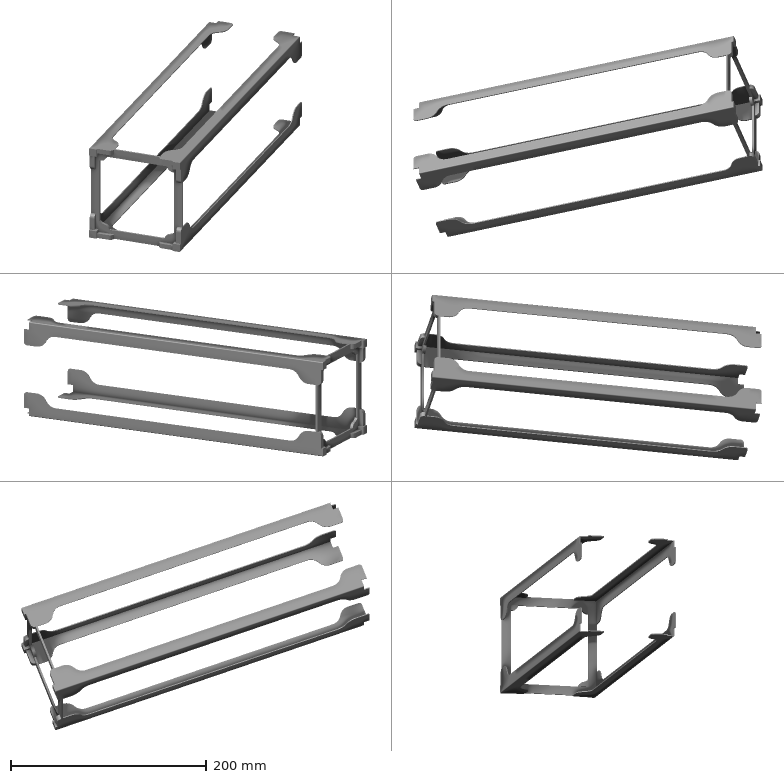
import cadquery as cq
import math

LENGTH = 343.0
WIDTH = 100.0
HALF = WIDTH / 2
FRONT = -LENGTH / 2
BACK = LENGTH / 2

SHEET = 1.0
LEG = 12.0
TAB = 25.0
BLEND_RADIUS = 12.0
FRONT_SETBACK = 2.0
FRONT_TAB_LENGTH = 14.7
BACK_TAB_LENGTH = 14.5
FRONT_TAB_RADIUS = 4.0
BACK_TAB_RADIUS = 3.0
BACK_NOTCH = 6.0

BLOCK = 8.2
BAR_WIDTH = 9.3
BAR_THICKNESS = 1.9
LUG_THICKNESS = 4.0
GUSSET_THICKNESS = 3.0
TOP_GUSSET_WIDTH = 7.5
TOP_GUSSET_HEIGHT = 5.5
TOP_GUSSET_BOW = 1.9
BOTTOM_GUSSET_WIDTH = 10.5
BOTTOM_GUSSET_HEIGHT = 8.2
BOTTOM_GUSSET_BOW = 1.2
WAIST_WIDTH = 4.8
WAIST_HEIGHT = 5.0
HOLLOW_BOW = 0.5

RAIL_FRONT = FRONT + FRONT_SETBACK
BAR_BACK = FRONT + BLOCK
BAR_FRONT = BAR_BACK - BAR_THICKNESS
STEP = TAB - LEG
BLEND_LENGTH = math.sqrt(STEP * (4 * BLEND_RADIUS - STEP))


def at_corners(body, sides=(-1, 1), levels=(-1, 1)):
    """Copies of a body made at the -X, -Z corner, mirrored to the chosen corners."""
    copies = []
    for side in sides:
        for level in levels:
            copy = body
            if side > 0:
                copy = copy.mirror("YZ")
            if level > 0:
                copy = copy.mirror("XY")
            copies.append(copy)
    return copies


def swap_x_and_z(body):
    """Mirror a body across the diagonal plane X = Z."""
    return body.rotate((0, 0, 0), (0, 1, 0), 90).mirror("XY")


def box(x, y, z):
    """A box from (low, high) ranges along the three axes."""
    size = (x[1] - x[0], y[1] - y[0], z[1] - z[0])
    return cq.Workplane("XY").box(*size, centered=False).translate((x[0], y[0], z[0]))


def bowed_arc(outline, start, end, bow):
    """Add an arc that bulges by `bow` to the left of the way from start to end."""
    dx = end[0] - start[0]
    dy = end[1] - start[1]
    chord = math.hypot(dx, dy)
    middle = ((start[0] + end[0]) / 2 - bow * dy / chord, (start[1] + end[1]) / 2 + bow * dx / chord)
    return outline.threePointArc(middle, end)


def rail_leg():
    """Flat bottom leg of the rail at the -X, -Z corner, with notched tabs at both ends."""
    outer = -HALF
    notch = outer + BLOCK
    leg = outer + LEG
    tab = outer + TAB
    front_step = RAIL_FRONT + FRONT_TAB_LENGTH
    back_step = BACK - BACK_TAB_LENGTH
    outline = (
        cq.Workplane("XY", origin=(0, 0, -HALF))
        .moveTo(outer, BAR_BACK)
        .lineTo(notch, BAR_BACK)
        .lineTo(notch, RAIL_FRONT)
        .lineTo(tab - FRONT_TAB_RADIUS, RAIL_FRONT)
        .radiusArc((tab, RAIL_FRONT + FRONT_TAB_RADIUS), -FRONT_TAB_RADIUS)
        .lineTo(tab, front_step)
        .radiusArc((tab - STEP / 2, front_step + BLEND_LENGTH / 2), -BLEND_RADIUS)
        .radiusArc((leg, front_step + BLEND_LENGTH), BLEND_RADIUS)
        .lineTo(leg, back_step - BLEND_LENGTH)
        .radiusArc((tab - STEP / 2, back_step - BLEND_LENGTH / 2), BLEND_RADIUS)
        .radiusArc((tab, back_step), -BLEND_RADIUS)
        .lineTo(tab, BACK - BACK_TAB_RADIUS)
        .radiusArc((tab - BACK_TAB_RADIUS, BACK), -BACK_TAB_RADIUS)
        .lineTo(notch, BACK)
        .lineTo(notch, BACK - BACK_NOTCH)
        .lineTo(outer, BACK - BACK_NOTCH)
        .close()
    )
    return outline.extrude(SHEET)


def corner_rounding():
    """Material outside the rounded outer edge at the -X, -Z corner, over the whole length."""
    corner = box((-HALF, -HALF + SHEET), (FRONT, BACK), (-HALF, -HALF + SHEET))
    round_edge = (
        cq.Workplane("XZ", origin=(-HALF + SHEET, FRONT, -HALF + SHEET)).circle(SHEET).extrude(-LENGTH)
    )
    return corner.cut(round_edge)


def make_rail():
    """Sheet-metal angle rail at the -X, -Z corner."""
    leg = rail_leg()
    return leg.union(swap_x_and_z(leg)).cut(corner_rounding())


def lug():
    """Lug along the bottom bar, inside the rail tab; its end is one quarter round."""
    depth = BAR_FRONT - RAIL_FRONT
    root = -HALF + BLOCK
    tip = -HALF + TAB
    outline = (
        cq.Workplane("XY", origin=(0, 0, -HALF + SHEET))
        .moveTo(root, BAR_FRONT)
        .lineTo(root, RAIL_FRONT)
        .lineTo(tip - depth, RAIL_FRONT)
        .radiusArc((tip, BAR_FRONT), -depth)
        .close()
    )
    return outline.extrude(LUG_THICKNESS)


def tab_recess():
    """Seat in the outer face of the bottom bar for the rail tab."""
    return box((-HALF + BLOCK, -HALF + TAB), (BAR_FRONT, BAR_BACK), (-HALF, -HALF + SHEET))


def upright_plane(y):
    """Plane facing -Y, so that positive extrusion runs toward the front."""
    return cq.Workplane("XZ", origin=(0, y, 0))


def top_gusset():
    """Bulging gusset in the inner corner at -X, -Z; mirrored up to the top corners."""
    inner = -HALF + BAR_WIDTH
    start = (inner, inner + TOP_GUSSET_HEIGHT)
    end = (inner + TOP_GUSSET_WIDTH, inner)
    outline = upright_plane(BAR_FRONT).moveTo(inner, inner).lineTo(*start)
    return bowed_arc(outline, start, end, TOP_GUSSET_BOW).close().extrude(-GUSSET_THICKNESS)


def bottom_gusset():
    """Wave-edged gusset in the inner corner at -X, -Z."""
    inner = -HALF + BAR_WIDTH
    start = (inner, inner + BOTTOM_GUSSET_HEIGHT)
    waist = (inner + WAIST_WIDTH, inner + WAIST_HEIGHT)
    end = (inner + BOTTOM_GUSSET_WIDTH, inner)
    outline = upright_plane(BAR_FRONT).moveTo(inner, inner).lineTo(*start)
    outline = bowed_arc(outline, start, waist, -HOLLOW_BOW)
    return bowed_arc(outline, waist, end, BOTTOM_GUSSET_BOW).close().extrude(-GUSSET_THICKNESS)


def make_frame():
    """Square front frame with corner blocks, gussets, lugs and seats for the rails."""
    opening = WIDTH - 2 * BAR_WIDTH
    frame = upright_plane(BAR_BACK).rect(WIDTH, WIDTH).rect(opening, opening).extrude(BAR_THICKNESS)
    block_range = (-HALF, -HALF + BLOCK)
    block = box(block_range, (FRONT, BAR_BACK), block_range)
    additions = at_corners(block)
    additions += at_corners(lug())
    additions += at_corners(swap_x_and_z(lug()))
    additions += at_corners(top_gusset(), levels=(1,))
    additions += at_corners(bottom_gusset(), levels=(-1,))
    for addition in additions:
        frame = frame.union(addition)
    cuts = at_corners(tab_recess())
    cuts += at_corners(swap_x_and_z(tab_recess()))
    cuts += at_corners(corner_rounding())
    for cut in cuts:
        frame = frame.cut(cut)
    return frame


frame = make_frame()
rails = at_corners(make_rail())

result = cq.Compound.makeCompound([frame.val(), *[rail.val() for rail in rails]])